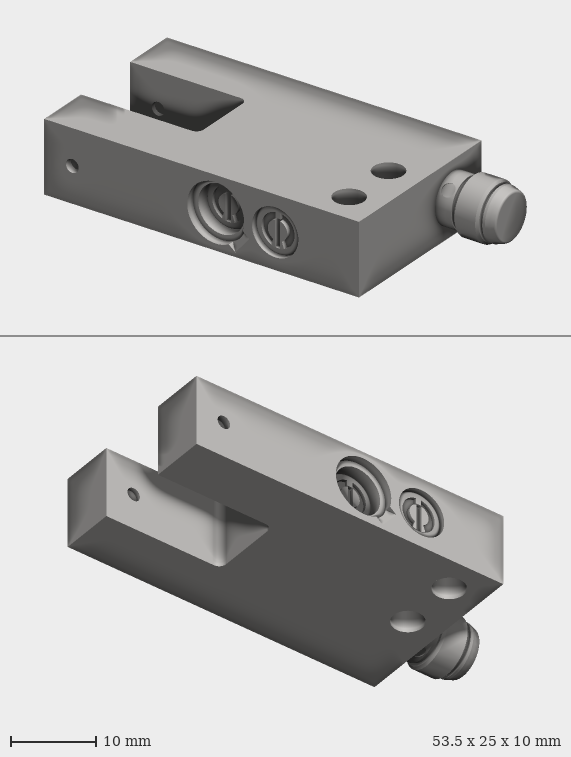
import cadquery as cq
import math


TOTAL_LENGTH = 53.5
HOUSING_LENGTH = 45.0
HOUSING_WIDTH = 25.0
HOUSING_HEIGHT = 10.0
FRONT_FACE_Y = -HOUSING_WIDTH / 2

GAP_DEPTH = 16.8
GAP_WIDTH = 10.0
GAP_CORNER_RADIUS = 1.0

MOUNT_HOLE_DIAMETER = 4.15
MOUNT_HOLE_X = 40.45
MOUNT_HOLE_PITCH = 8.0

OPTIC_HOLE_DIAMETER = 1.8
OPTIC_HOLE_X = 4.0
OUTER_OPTIC_DEPTH = 1.0
GAP_OPTIC_DEPTH = 0.65

SCREW_RADIUS = 3.3
SCREW_LENGTH = 3.75
RIM_ROUND = 0.5
DISH_RADIUS = 2.35
DISH_DEPTH = 0.5
HUB_RADIUS = 1.4
HUB_RISE = 0.1
SLOT_WIDTH = 0.75
SLOT_TOP = 1.55
TAIL_NECK_WIDTH = 1.2
TAIL_END_WIDTH = 2.0
TAIL_TOP = -1.2
RIGHT_SCREW_X = 33.0
RIGHT_RIM_DEPTH = 0.6
LEFT_SCREW_X = 24.5
LEFT_RIM_DEPTH = 2.7
SCREWS = [(LEFT_SCREW_X, LEFT_RIM_DEPTH), (RIGHT_SCREW_X, RIGHT_RIM_DEPTH)]

COUNTERBORE_RADIUS = 4.05
COUNTERBORE_DEPTH = 1.2
NOTCH_WIDTH = 3.1
NOTCH_REACH = 5.0
NOTCH_SLOPE = 35.0
NOTCH_ANGLE = -40.0

PLUG_Y = 6.5
NECK_RADIUS = 3.5
NECK_END = 2.3
REAR_GROOVE_RADIUS = 3.25
COLLAR_START = 2.85
COLLAR_END = 6.4
COLLAR_RADIUS = 4.0
COLLAR_CHAMFER = 0.3
TIP_GROOVE_RADIUS = 3.25
TIP_START = 6.85
TIP_RADIUS = 3.65
TIP_LAND = 0.4
TIP_END_RADIUS = 3.2
TIP_ROUND = 0.3
PLUG_LENGTH = TOTAL_LENGTH - HOUSING_LENGTH

SPANNER_HOLE_DIAMETER = 1.8
SPANNER_HOLE_X = 1.2
SPANNER_FLOOR_RADIUS = 3.3
SPANNER_FIRST_ANGLE = 15.0
SPANNER_COUNT = 3


def cylinder_along_y(radius, x, start_y, length):
    """Cylinder parallel to +Y at Z = 0."""
    return cq.Workplane(cq.Solid.makeCylinder(radius, length, cq.Vector(x, start_y, 0), cq.Vector(0, 1, 0)))


def make_plug():
    profile = [
        (0, 0),
        (0, NECK_RADIUS),
        (NECK_END, NECK_RADIUS),
        (NECK_END, REAR_GROOVE_RADIUS),
        (COLLAR_START, REAR_GROOVE_RADIUS),
        (COLLAR_START, COLLAR_RADIUS - COLLAR_CHAMFER),
        (COLLAR_START + COLLAR_CHAMFER, COLLAR_RADIUS),
        (COLLAR_END - COLLAR_CHAMFER, COLLAR_RADIUS),
        (COLLAR_END, COLLAR_RADIUS - COLLAR_CHAMFER),
        (COLLAR_END, TIP_GROOVE_RADIUS),
        (TIP_START, TIP_GROOVE_RADIUS),
        (TIP_START, TIP_RADIUS),
        (TIP_START + TIP_LAND, TIP_RADIUS),
        (PLUG_LENGTH, TIP_END_RADIUS),
        (PLUG_LENGTH, 0),
    ]
    plug = cq.Workplane("XY").polyline(profile).close().revolve(360, (0, 0, 0), (1, 0, 0))
    plug = plug.faces(">X").edges().fillet(TIP_ROUND)

    for index in range(SPANNER_COUNT):
        angle = math.radians(SPANNER_FIRST_ANGLE + index * 360 / SPANNER_COUNT)
        outward = cq.Vector(0, math.cos(angle), math.sin(angle))
        floor_centre = cq.Vector(SPANNER_HOLE_X, 0, 0) + outward * SPANNER_FLOOR_RADIUS
        plug = plug.cut(cq.Workplane(
            cq.Solid.makeCylinder(SPANNER_HOLE_DIAMETER / 2, NECK_RADIUS, floor_centre, outward)
        ))
    return plug.translate((HOUSING_LENGTH, PLUG_Y, 0))


def make_pry_notch():
    """Wedge whose sloping floor deepens towards the left screw."""
    notch_length = NOTCH_REACH - SCREW_RADIUS
    inner_depth = notch_length * math.tan(math.radians(NOTCH_SLOPE))
    wedge = (
        cq.Workplane("XY")
        .polyline([(NOTCH_REACH, 0), (SCREW_RADIUS, inner_depth), (SCREW_RADIUS, 0)])
        .close()
        .extrude(NOTCH_WIDTH / 2, both=True)
    )
    return wedge.rotate((0, 0, 0), (0, 1, 0), -NOTCH_ANGLE).translate((LEFT_SCREW_X, FRONT_FACE_Y, 0))


def make_screw(x, rim_depth):
    rim_y = FRONT_FACE_Y + rim_depth
    hub_y = rim_y - HUB_RISE
    floor_y = rim_y + DISH_DEPTH
    hub_height = floor_y - hub_y

    dish = cylinder_along_y(DISH_RADIUS, x, rim_y, DISH_DEPTH)
    pointer = cq.Workplane("XY").box(SLOT_WIDTH, DISH_DEPTH, DISH_RADIUS, centered=(True, False, False))
    dish = dish.cut(pointer.translate((x, rim_y, 0)))
    blank = cylinder_along_y(SCREW_RADIUS, x, rim_y, SCREW_LENGTH).edges("<Y").fillet(RIM_ROUND)
    screw = blank.cut(dish)

    tail = (
        cq.Workplane("XZ")
        .polyline([
            (-TAIL_NECK_WIDTH / 2, 0),
            (-TAIL_NECK_WIDTH / 2, TAIL_TOP),
            (-TAIL_END_WIDTH / 2, -DISH_RADIUS),
            (TAIL_END_WIDTH / 2, -DISH_RADIUS),
            (TAIL_NECK_WIDTH / 2, TAIL_TOP),
            (TAIL_NECK_WIDTH / 2, 0),
        ])
        .close()
        .extrude(-hub_height)
        .translate((x, hub_y, 0))
    )
    dish_space = cylinder_along_y(DISH_RADIUS, x, hub_y, hub_height)
    hub = cylinder_along_y(HUB_RADIUS, x, hub_y, hub_height).union(tail.intersect(dish_space))
    screw = screw.union(hub)

    slot = (
        cq.Workplane("XY")
        .box(SLOT_WIDTH, hub_height, SLOT_TOP + DISH_RADIUS, centered=(True, False, False))
        .translate((x, hub_y, -DISH_RADIUS))
        .intersect(dish_space)
    )
    return screw.cut(slot)


def make_housing():
    housing = cq.Workplane("XY").box(
        HOUSING_LENGTH, HOUSING_WIDTH, HOUSING_HEIGHT, centered=(False, True, True)
    )

    gap = (
        cq.Workplane("XY")
        .box(GAP_DEPTH, GAP_WIDTH, HOUSING_HEIGHT, centered=(False, True, True))
        .edges("|Z and >X")
        .fillet(GAP_CORNER_RADIUS)
    )
    housing = housing.cut(gap)

    mount_holes = (
        cq.Workplane("XY")
        .pushPoints([(MOUNT_HOLE_X, 0), (MOUNT_HOLE_X, -MOUNT_HOLE_PITCH)])
        .circle(MOUNT_HOLE_DIAMETER / 2)
        .extrude(HOUSING_HEIGHT, both=True)
    )
    housing = housing.cut(mount_holes)

    for face_y, depth in [(FRONT_FACE_Y, OUTER_OPTIC_DEPTH), (GAP_WIDTH / 2, GAP_OPTIC_DEPTH)]:
        housing = housing.cut(cylinder_along_y(OPTIC_HOLE_DIAMETER / 2, OPTIC_HOLE_X, face_y, depth))

    for x, rim_depth in SCREWS:
        bore_depth = rim_depth + SCREW_LENGTH
        housing = housing.cut(cylinder_along_y(SCREW_RADIUS, x, FRONT_FACE_Y, bore_depth))

    counterbore = cylinder_along_y(COUNTERBORE_RADIUS, LEFT_SCREW_X, FRONT_FACE_Y, COUNTERBORE_DEPTH)
    housing = housing.cut(counterbore).cut(make_pry_notch())

    return housing.union(make_plug())


housing = make_housing()
screws = [make_screw(x, rim_depth) for x, rim_depth in SCREWS]

result = cq.Compound.makeCompound([housing.val(), *[screw.val() for screw in screws]])